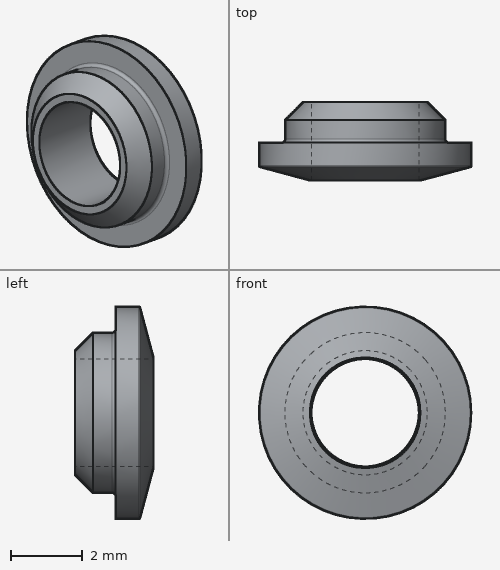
import cadquery as cq
import math

flange_radius = 2.96
hub_radius = 2.24
bore_radius = 1.5
total_length = 2.19
flange_back = 1.055
hub_chamfer = 0.505
rim_round = 0.05
bore_round = 0.04
root_fillet = 0.1
cone_angle = math.radians(15)

front = -total_length / 2
back = front + total_length
flange_face = front + flange_back

taper_inner_radius = bore_radius + bore_round
rim_centre_radius = flange_radius - rim_round
rim_start_radius = rim_centre_radius + rim_round * math.sin(cone_angle)
rim_start_y = front + (rim_start_radius - taper_inner_radius) * math.tan(cone_angle)
rim_centre_y = rim_start_y + rim_round * math.cos(cone_angle)
rim_mid_angle = (math.pi / 2 - cone_angle) / 2
rim_mid = (
    rim_centre_radius + rim_round * math.cos(rim_mid_angle),
    rim_centre_y - rim_round * math.sin(rim_mid_angle),
)

bore_centre = (taper_inner_radius, front + bore_round)
bore_mid = (
    bore_centre[0] - bore_round * math.sqrt(0.5),
    bore_centre[1] - bore_round * math.sqrt(0.5),
)

root_centre = (hub_radius + root_fillet, flange_face + root_fillet)
root_mid = (
    root_centre[0] - root_fillet * math.sqrt(0.5),
    root_centre[1] - root_fillet * math.sqrt(0.5),
)

profile = (
    cq.Workplane("XY")
    .moveTo(bore_centre[0], front)
    .lineTo(rim_start_radius, rim_start_y)
    .threePointArc(rim_mid, (flange_radius, rim_centre_y))
    .lineTo(flange_radius, flange_face)
    .lineTo(root_centre[0], flange_face)
    .threePointArc(root_mid, (hub_radius, root_centre[1]))
    .lineTo(hub_radius, back - hub_chamfer)
    .lineTo(hub_radius - hub_chamfer, back)
    .lineTo(bore_radius, back)
    .lineTo(bore_radius, bore_centre[1])
    .threePointArc(bore_mid, (bore_centre[0], front))
    .close()
)

result = profile.revolve(360, (0, 0, 0), (0, 1, 0))